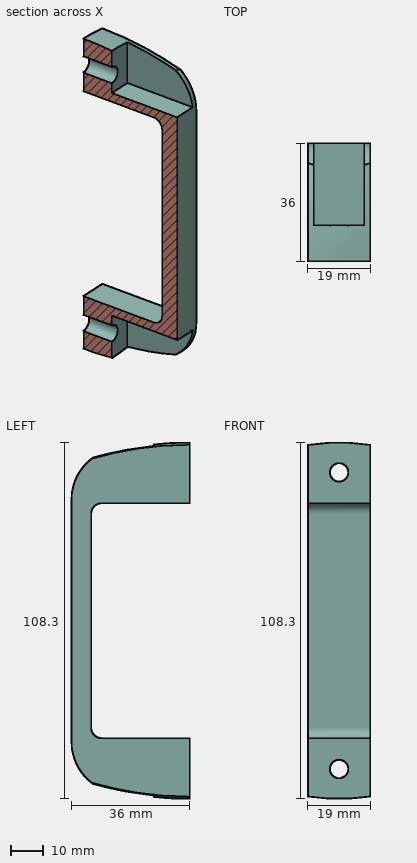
import cadquery as cq
import math

width = 19.0
depth = 36.0
length = 108.3

grip_thickness = 6.1
leg_inner_height = 35.6
inner_fillet = 3.0
corner_radius = 15.6
corner_center_height = 36.8

crown_radius = 62.8
end_profile_radius = 108.3

hole_diameter = 5.5
hole_height = 45.1
pocket_width = 15.4
pocket_start = 10.9
pocket_floor_height = 38.9

half_length = length / 2
grip_inner_face = depth - grip_thickness


def bar_with_rounded_corners():
    """Solid block whose two outer grip edges are rounded."""
    corner_center_y = depth - corner_radius
    corner_top = corner_center_height + corner_radius
    arc_mid_offset = corner_radius * math.sqrt(0.5)
    arc_mid_y = corner_center_y + arc_mid_offset
    arc_mid_z = corner_center_height + arc_mid_offset
    return (
        cq.Workplane("YZ")
        .moveTo(0, -half_length)
        .lineTo(corner_center_y, -half_length)
        .lineTo(corner_center_y, -corner_top)
        .threePointArc((arc_mid_y, -arc_mid_z), (depth, -corner_center_height))
        .lineTo(depth, corner_center_height)
        .threePointArc((arc_mid_y, arc_mid_z), (corner_center_y, corner_top))
        .lineTo(corner_center_y, half_length)
        .lineTo(0, half_length)
        .close()
        .extrude(width / 2, both=True)
    )


def crowned_envelope():
    """Barrel-shaped solid whose upper surface limits the upper leg end."""
    def profile_height(y):
        drop = end_profile_radius - math.sqrt(end_profile_radius**2 - y**2)
        return half_length - drop

    axis_height = half_length - crown_radius
    return (
        cq.Workplane("YZ")
        .moveTo(0, axis_height)
        .lineTo(0, half_length)
        .threePointArc((depth / 2, profile_height(depth / 2)), (depth, profile_height(depth)))
        .lineTo(depth, axis_height)
        .close()
        .revolve(360, (0, axis_height, 0), (1, axis_height, 0))
    )


def hand_opening():
    """Space between the legs, with rounded edges along the grip."""
    return (
        cq.Workplane("XY")
        .box(width, grip_inner_face, 2 * leg_inner_height)
        .edges(">Y and |X")
        .fillet(inner_fillet)
        .translate((0, grip_inner_face / 2, 0))
    )


def screw_pocket():
    """Pocket in the upper leg, open to the leg end and the grip side."""
    pocket_depth = depth - pocket_start
    pocket_height = half_length - pocket_floor_height
    return (
        cq.Workplane("XY")
        .box(pocket_width, pocket_depth, pocket_height, centered=(True, False, False))
        .translate((0, pocket_start, pocket_floor_height))
    )


def screw_hole():
    """Hole from the mounting face into the upper pocket."""
    return (
        cq.Workplane("XZ")
        .center(0, hole_height)
        .circle(hole_diameter / 2)
        .extrude(-pocket_start)
    )


def mirrored(body):
    return body.mirror("XY")


envelope = crowned_envelope()
result = bar_with_rounded_corners().intersect(envelope).intersect(mirrored(envelope))
result = result.cut(hand_opening())
for cutter in (screw_pocket(), screw_hole()):
    result = result.cut(cutter).cut(mirrored(cutter))